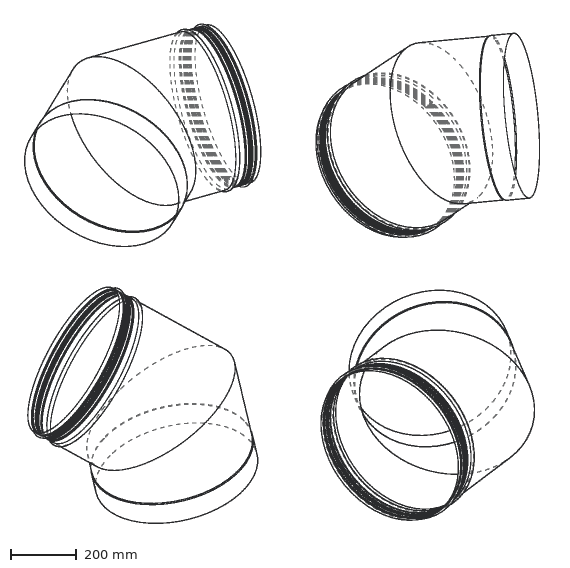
import cadquery as cq
wall = 1.0
tube_outer_diameter = 502.0
collar_outer_diameter = 505.5
bend_angle = 45.0
inlet_length = 250.0
outlet_length = 320.0

collar_length = 71.5
collar_taper_length = 4.0

spigot_outer_diameter = 501.0
bead_diameter = 513.0
bead_position = 77.0
bead_width = 13.0
groove_depth = 2.5
groove_side_width = 2.5
groove_floor_width = 13.0
groove_positions = (22.0, 43.0)

seal_width = 8.0
seal_thickness = 2.5
lip_diameter = 514.5
lip_thickness = 0.5

tube_radius = tube_outer_diameter / 2
collar_radius = collar_outer_diameter / 2
spigot_radius = spigot_outer_diameter / 2
bead_height = bead_diameter / 2 - tube_radius
cut_overlap = tube_outer_diameter
block_scale = 4


def revolve_about_y(profile):
    """Turn a profile drawn as (radius, distance along Y) about the Y axis."""
    return profile.close().revolve(360, (0, 0, 0), (0, 1, 0))


def mitre_half_space(side):
    """Large block on one side (+1 or -1 along Y) of the mitre plane."""
    size = block_scale * (inlet_length + outlet_length)
    block = cq.Workplane("XY").box(size, size, size).translate((0, side * size / 2, 0))
    return block.rotate((0, 0, 0), (0, 0, 1), -bend_angle / 2)


def turn_to_outlet(body):
    """Swing a body built along +Y onto the outlet axis."""
    return body.rotate((0, 0, 0), (0, 0, 1), -bend_angle)


def inlet_solid(inset):
    """Filled inlet tube whose surface lies the given inset below the outer one."""
    radius = tube_radius - inset
    socket_radius = collar_radius - inset
    collar_end = collar_length - inlet_length
    profile = (
        cq.Workplane("XY")
        .moveTo(0, -inlet_length)
        .lineTo(socket_radius, -inlet_length)
        .lineTo(socket_radius, collar_end)
        .lineTo(radius, collar_end + collar_taper_length)
        .lineTo(radius, cut_overlap)
        .lineTo(0, cut_overlap)
    )
    return revolve_about_y(profile)


def outlet_solid(inset):
    """Filled outlet tube with bead and grooves, inset below the outer surface."""
    radius = tube_radius - inset
    tip_radius = spigot_radius - inset
    floor_radius = tip_radius - groove_depth
    bead_centre = outlet_length - bead_position
    profile = (
        cq.Workplane("XY")
        .moveTo(0, -cut_overlap)
        .lineTo(radius, -cut_overlap)
        .lineTo(radius, bead_centre - bead_width / 2)
        .threePointArc((radius + bead_height, bead_centre), (tip_radius, bead_centre + bead_width / 2))
    )
    for position in reversed(groove_positions):
        centre = outlet_length - position
        half_floor = groove_floor_width / 2
        half_mouth = half_floor + groove_side_width
        profile = (
            profile.lineTo(tip_radius, centre - half_mouth)
            .lineTo(floor_radius, centre - half_floor)
            .lineTo(floor_radius, centre + half_floor)
            .lineTo(tip_radius, centre + half_mouth)
        )
    profile = profile.lineTo(tip_radius, outlet_length).lineTo(0, outlet_length)
    return revolve_about_y(profile)


def make_inlet():
    tube = inlet_solid(0).cut(inlet_solid(wall))
    return tube.intersect(mitre_half_space(-1))


def make_outlet():
    tube = turn_to_outlet(outlet_solid(0).cut(outlet_solid(wall)))
    return tube.intersect(mitre_half_space(1))


def make_seal(position, lip):
    """Flat ring on a groove floor; lip=True adds a thin disc on its outlet-end edge."""
    near_side = outlet_length - position - seal_width / 2
    far_side = near_side + seal_width
    floor_radius = spigot_radius - groove_depth
    top_radius = floor_radius + seal_thickness
    profile = cq.Workplane("XY").moveTo(floor_radius, near_side).lineTo(top_radius, near_side)
    if lip:
        profile = (
            profile.lineTo(top_radius, far_side - lip_thickness)
            .lineTo(lip_diameter / 2, far_side - lip_thickness)
            .lineTo(lip_diameter / 2, far_side)
        )
    else:
        profile = profile.lineTo(top_radius, far_side)
    profile = profile.lineTo(floor_radius, far_side)
    return turn_to_outlet(revolve_about_y(profile))


inlet = make_inlet()
outlet = make_outlet()
end_groove = min(groove_positions)
seals = [make_seal(position, lip=position == end_groove) for position in groove_positions]

result = cq.Compound.makeCompound([inlet.val(), outlet.val(), *[seal.val() for seal in seals]])